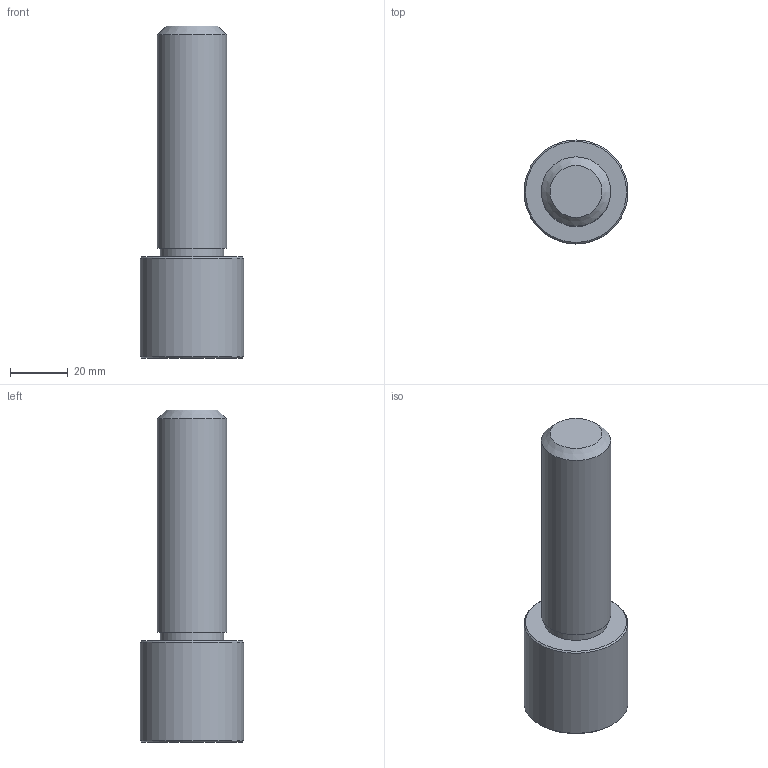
import cadquery as cq

total_length = 115.0
head_diameter = 36.0
head_length = 35.0
head_chamfer = 0.5
neck_diameter = 22.0
neck_length = 3.0
shank_diameter = 24.0
shank_chamfer = 3.0

shank_start = head_length + neck_length
shank_length = total_length - shank_start


def cylinder(diameter, length, base_z):
    """Cylinder on the Z axis, standing on the height base_z."""
    return cq.Workplane("XY").workplane(offset=base_z).circle(diameter / 2).extrude(length)


def make_head():
    """Wide base with both rims chamfered."""
    return cylinder(head_diameter, head_length, 0).edges("%CIRCLE").chamfer(head_chamfer)


def make_neck():
    """Relief between the head and the shank."""
    return cylinder(neck_diameter, neck_length, head_length)


def make_shank():
    """Long pin with a chamfered tip."""
    return cylinder(shank_diameter, shank_length, shank_start).faces(">Z").edges().chamfer(shank_chamfer)


result = make_head().union(make_neck()).union(make_shank())